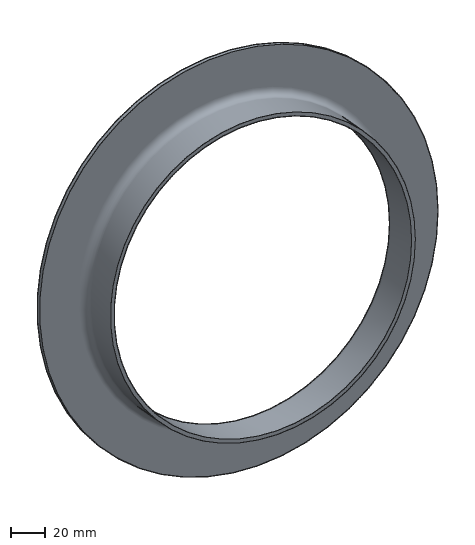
import cadquery as cq

flange_diameter = 268.0
collar_outer_diameter = 205.0
bore_diameter = 200.0
overall_length = 30.0
flange_thickness = 3.0
mouth_radius = 7.0
root_radius = 5.0


def disc(diameter, length):
    """Solid disc on the X axis, starting at the flange face (X = 0)."""
    return cq.Workplane("YZ").circle(diameter / 2).extrude(length)


def flange_with_collar():
    """Flat flange and cylindrical collar, blended by the root fillet."""
    body = disc(flange_diameter, flange_thickness).union(disc(collar_outer_diameter, overall_length))
    flange_back = body.faces("<X[1]")
    return flange_back.edges(cq.selectors.RadiusNthSelector(0)).fillet(root_radius)


def cut_bore(body):
    """Cut the through bore and round its mouth on the flange face."""
    bored = body.cut(disc(bore_diameter, overall_length))
    flange_face = bored.faces("<X")
    return flange_face.edges(cq.selectors.RadiusNthSelector(0)).fillet(mouth_radius)


result = cut_bore(flange_with_collar())